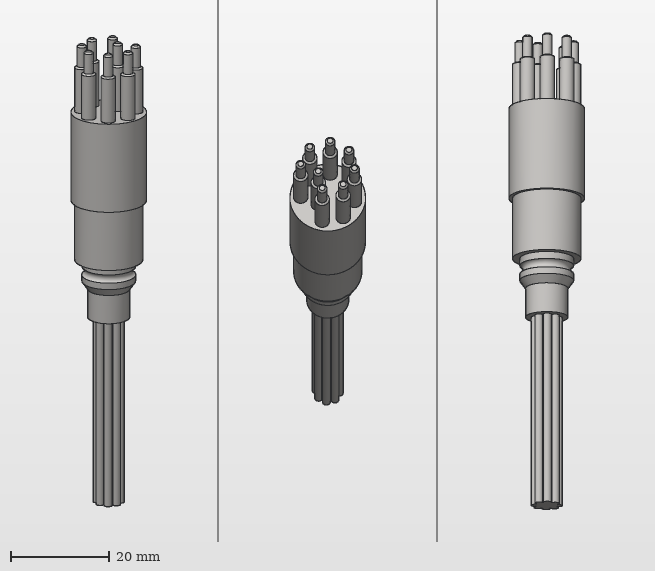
import cadquery as cq
import math

TOTAL_HEIGHT = 98.5
SHOULDER_Z = 93.6
FACE_Z = 84.1
GRIP_BOTTOM_Z = 65.1
SLEEVE_BOTTOM_Z = 52.3
GROOVE_TOP_Z = 50.8
BEAD_TOP_Z = 49.1
BEAD_BOTTOM_Z = 47.7
NECK_TOP_Z = 46.0
NECK_BOTTOM_Z = 39.9

GRIP_RADIUS = 15.5 / 2
SLEEVE_RADIUS = 14.0 / 2
COLLAR_RADIUS = 11.0 / 2
NECK_RADIUS = 8.7 / 2
GROOVE_DEPTH = 0.6

PIN_BASE_RADIUS = 3.0 / 2
PIN_RADIUS = 2.0 / 2
PIN_TIP_CHAMFER = 0.4
PIN_SHOULDER_RISE = 0.3
PIN_RING_RADIUS = SLEEVE_RADIUS - PIN_BASE_RADIUS
RING_PIN_COUNT = 7
RING_PIN_STEP = 46.7
INNER_PIN_Y = 2.5

WIRE_COUNT = 8
WIRE_RADIUS = 1.7 / 2
BUNDLE_RADIUS = 6.4 / 2
WIRE_RING_RADIUS = BUNDLE_RADIUS - WIRE_RADIUS


def ring_point(radius, angle):
    """Point on a circle about the Z axis, with the angle in degrees."""
    turn = math.radians(angle)
    return radius * math.cos(turn), radius * math.sin(turn)


def make_body():
    """Grip, sleeve, grooved collar and neck, turned about the Z axis."""
    groove_radius = COLLAR_RADIUS - GROOVE_DEPTH
    profile = (
        cq.Workplane("XZ")
        .moveTo(0, NECK_BOTTOM_Z)
        .lineTo(NECK_RADIUS, NECK_BOTTOM_Z)
        .lineTo(NECK_RADIUS, NECK_TOP_Z)
        .lineTo(COLLAR_RADIUS, BEAD_BOTTOM_Z)
        .lineTo(COLLAR_RADIUS, BEAD_TOP_Z)
        .threePointArc((groove_radius, (BEAD_TOP_Z + GROOVE_TOP_Z) / 2), (COLLAR_RADIUS, GROOVE_TOP_Z))
        .lineTo(COLLAR_RADIUS, SLEEVE_BOTTOM_Z)
        .lineTo(SLEEVE_RADIUS, SLEEVE_BOTTOM_Z)
        .lineTo(SLEEVE_RADIUS, GRIP_BOTTOM_Z)
        .lineTo(GRIP_RADIUS, GRIP_BOTTOM_Z)
        .lineTo(GRIP_RADIUS, FACE_Z)
        .lineTo(0, FACE_Z)
        .close()
    )
    return profile.revolve(360, (0, 0, 0), (0, 1, 0))


def make_pin():
    """One stepped pin with a sloped shoulder and chamfered tip, standing on the end face at the Z axis."""
    profile = (
        cq.Workplane("XZ")
        .moveTo(0, FACE_Z)
        .lineTo(PIN_BASE_RADIUS, FACE_Z)
        .lineTo(PIN_BASE_RADIUS, SHOULDER_Z)
        .lineTo(PIN_RADIUS, SHOULDER_Z + PIN_SHOULDER_RISE)
        .lineTo(PIN_RADIUS, TOTAL_HEIGHT - PIN_TIP_CHAMFER)
        .lineTo(PIN_RADIUS - PIN_TIP_CHAMFER, TOTAL_HEIGHT)
        .lineTo(0, TOTAL_HEIGHT)
        .close()
    )
    return profile.revolve(360, (0, 0, 0), (0, 1, 0))


def pin_centres():
    """Ring pins spread evenly about the -Y direction, then the inner pin."""
    first_angle = -90 - RING_PIN_STEP * (RING_PIN_COUNT - 1) / 2
    ring = [ring_point(PIN_RING_RADIUS, first_angle + i * RING_PIN_STEP) for i in range(RING_PIN_COUNT)]
    return ring + [(0, INNER_PIN_Y)]


def make_wires():
    """Ring of wires around a solid core, running up inside the neck."""
    bundle = cq.Workplane("XY").circle(WIRE_RING_RADIUS).extrude(NECK_TOP_Z)
    for i in range(WIRE_COUNT):
        centre = ring_point(WIRE_RING_RADIUS, i * 360 / WIRE_COUNT)
        wire = cq.Workplane("XY").center(*centre).circle(WIRE_RADIUS).extrude(NECK_TOP_Z)
        bundle = bundle.union(wire)
    return bundle


result = make_body().union(make_wires())
for x, y in pin_centres():
    result = result.union(make_pin().translate((x, y, 0)))